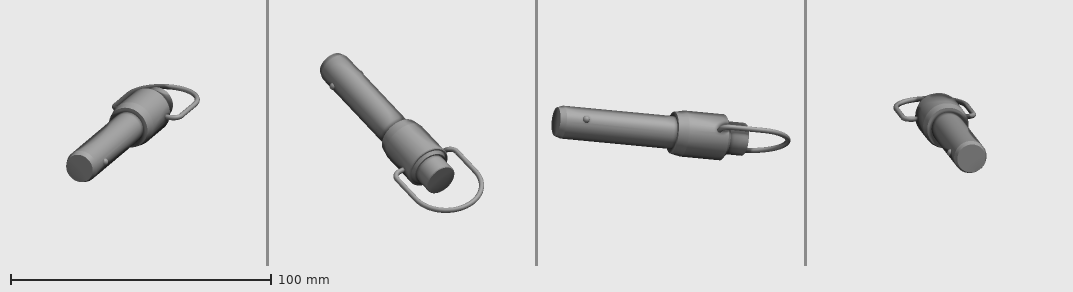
import cadquery as cq
import math

overall_length = 94.2

shank_diameter = 12.7
shank_radius = shank_diameter / 2
tip_radius = 5.6
tip_taper_length = 2.4

grip_diameter = 17.8
grip_radius = grip_diameter / 2
grip_base_radius = 8.1
shoulder_base_radius = 7.9
shoulder_top_radius = 7.1
grip_start = 47.1
grip_taper_length = 4.05
grip_end = 67.5
grip_chamfer = 0.3
shoulder_length = 1.1

button_radius = shank_radius
button_end = 76.1
button_chamfer = 0.3

ball_radius = 1.4
ball_reach = 7.5
ball_position = 10.2

wire_diameter = 2.0
wire_radius = wire_diameter / 2
handle_width = 29.5
bend_radius = 3.1
handle_foot = 63.3
leg_offset = handle_width / 2 - wire_radius
bow_start = overall_length - handle_width / 2


def make_body():
    """Revolve the shank, grip and button about the Y axis."""
    tip = 0.0
    shoulder_end = grip_end + shoulder_length
    profile = [
        (0, tip),
        (tip_radius, tip),
        (shank_radius, tip + tip_taper_length),
        (shank_radius, grip_start),
        (grip_base_radius, grip_start),
        (grip_radius, grip_start + grip_taper_length),
        (grip_radius, grip_end - grip_chamfer),
        (grip_radius - grip_chamfer, grip_end),
        (shoulder_base_radius, grip_end),
        (shoulder_top_radius, shoulder_end),
        (button_radius, shoulder_end),
        (button_radius, button_end - button_chamfer),
        (button_radius - button_chamfer, button_end),
        (0, button_end),
    ]
    return cq.Workplane("XY").polyline(profile).close().revolve(360, (0, 0), (0, 1))


def make_ball(side):
    """Locking ball bulging from the shank on the given X side."""
    center = (side * (ball_reach - ball_radius), ball_position, 0)
    return cq.Workplane("XY").sphere(ball_radius).translate(center)


def make_handle():
    """Sweep the bowed wire, with both ends buried in the grip."""
    buried_end = grip_radius / 2
    bend_start = leg_offset - bend_radius
    bend_end = handle_foot + bend_radius
    bend_middle_x = bend_start + bend_radius * math.sin(math.pi / 4)
    bend_middle_y = bend_end - bend_radius * math.cos(math.pi / 4)
    path = (
        cq.Workplane("XY")
        .moveTo(-buried_end, handle_foot)
        .lineTo(-bend_start, handle_foot)
        .threePointArc((-bend_middle_x, bend_middle_y), (-leg_offset, bend_end))
        .lineTo(-leg_offset, bow_start)
        .threePointArc((0, bow_start + leg_offset), (leg_offset, bow_start))
        .lineTo(leg_offset, bend_end)
        .threePointArc((bend_middle_x, bend_middle_y), (bend_start, handle_foot))
        .lineTo(buried_end, handle_foot)
    )
    wire_section = cq.Workplane("YZ", origin=(-buried_end, handle_foot, 0)).circle(wire_radius)
    return wire_section.sweep(path)


result = make_body().union(make_handle())
for side in (-1, 1):
    result = result.union(make_ball(side))